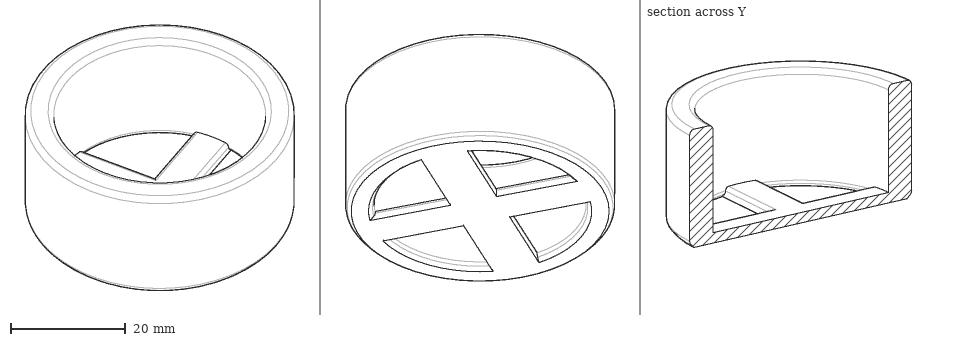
import cadquery as cq

outer_diameter = 47
bore_diameter = 37.0
height = 22.0
edge_size = 1.0
x_spoke_width = 8.5
y_spoke_width = 6.95
spoke_height = 2.0
spoke_rounding = 0.7

bore_radius = bore_diameter / 2


def make_ring():
    """Ring with rounded top rims and blended chamfers on both bottom rims."""
    ring = (
        cq.Workplane("XY")
        .circle(outer_diameter / 2)
        .circle(bore_radius)
        .extrude(height)
        .faces("<Z")
        .chamfer(edge_size)
    )
    chamfer_tops = cq.selectors.BoxSelector(
        (-outer_diameter, -outer_diameter, edge_size / 2),
        (outer_diameter, outer_diameter, edge_size * 2),
    )
    ring = ring.edges("%CIRCLE").edges(chamfer_tops).fillet(edge_size)
    return ring.faces(">Z").edges().fillet(edge_size)


def make_cross():
    """Crossed spokes with rounded top edges, ending at the bottom rim of the bore."""
    x_spoke = cq.Workplane("XY").box(
        outer_diameter, x_spoke_width, spoke_height, centered=(True, True, False)
    )
    y_spoke = cq.Workplane("XY").box(
        y_spoke_width, outer_diameter, spoke_height, centered=(True, True, False)
    )
    cross = x_spoke.union(y_spoke).faces(">Z").edges().fillet(spoke_rounding)
    end_radius = bore_radius + edge_size
    return cross.intersect(cq.Workplane("XY").circle(end_radius).extrude(spoke_height))


result = make_ring().union(make_cross())